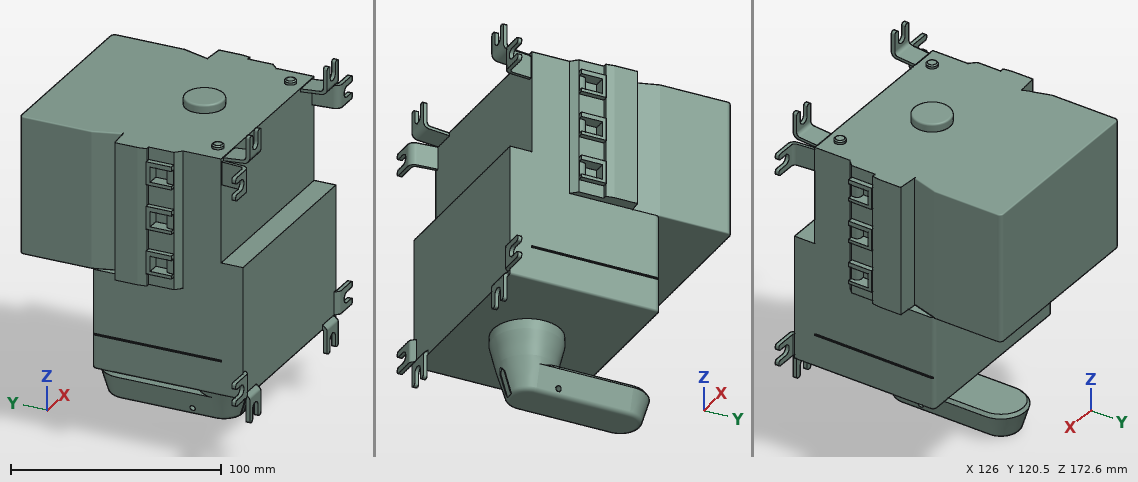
import cadquery as cq
import math


CLEARANCE = 0.02

BODY_HALF = 50.2
TOTAL_DEPTH = 120.5
TOTAL_HEIGHT = 172.6
TOP_Z = 159.4
BOTTOM_Z = 34.7
UPPER_BOTTOM_Z = 87.0
STEP_Z = 104.6
UPPER_FRONT_Y = 14.0
LOWER_FRONT_Y = 2.5
LOWER_REAR_Y = 82.4
CORNER_RADIUS = 2.5
RIM_RADIUS = 0.7
BOTTOM_RADIUS = 1.2
NECK_HALF = 46.0
NECK_Y = 68.0
SEAM_Z = 52.8
SEAM_HEIGHT = 0.7
SEAM_DEPTH = 0.5

WING_HALF = 56.3
WING_REAR_Y = 67.2
WING_SLOPE_Y = 54.9
WING_LIP_HALF = 55.6
RECESS_HALF = 53.5
RECESS_REAR_Y = 50.6
RECESS_FRONT_Y = 37.3
WING_FRONT_Y = 34.0

CELL_COUNT = 3
CELL_PITCH = 23.5
CELL_HEIGHT = 12.0
TOP_CELL_Z = 140.7
WINDOW_HEIGHT = 8.0
WINDOW_RISE = 1.7
WINDOW_REAR_Y = 48.5
POCKET_HALF = 50.0
LEDGE_HALF = 54.0
LEDGE_REAR_Y = 41.6
LEDGE_RADIUS = 2.5

BUTTON_Y = 47.3
BUTTON_DIAMETER = 20.2
BUTTON_HEIGHT = 4.3
BUTTON_FILLET = 1.0
PIN_X = 39.2
PIN_Y = 21.0
PIN_RADIUS = 3.0
PIN_HEIGHT = 1.9
PIN_CHAMFER = 0.7
BOSS_Z = 69.8
BOSS_RADIUS = 8.3
BOSS_LENGTH = 11.7

HANDLE_Y = 37.0
COLLAR_RADIUS = 18.0
COLLAR_Z = 29.4
CONE_RADIUS = 14.8
CONE_Z = 16.7
TIP_RADIUS = 9.8
LEVER_END_Y = 86.7
LEVER_TOP_Z = 15.0
LEVER_TOP_CHAMFER = 1.9
HANDLE_FILLET = 2.6
LEVER_HOLE_Y = 48.2
LEVER_HOLE_Z = 4.0
LEVER_HOLE_DIAMETER = 2.8
POINTER_HALF = 2.0
POINTER_TIP_Z = 14.5
POINTER_SHOULDER_Z = 12.3
POINTER_DEPTH = 0.7

BRACKET_WIDTH = 12.0
BRACKET_REACH = 12.8
SHEET = 2.0
FOOT_SLOT_WIDTH = 5.7
FOOT_SLOT_DEPTH = 8.8
TINE_RADIUS = 1.2
BRACKET_X = 41.8
UPPER_SIDE_BRACKET_Z = 151.5
LOWER_SIDE_BRACKET_Z = 43.2
TOP_BRACKET_Z = TOTAL_HEIGHT - BRACKET_REACH
LEG_INNER = 2.5
LEG_OUTER = 0.9
BEND_INSET = 1.5
OUTER_BEND_RADIUS = 3.5
INNER_BEND_RADIUS = 2.0
ROOT_BEND_START = 0.5
ROOT_BEND_INSET = 0.9
ROOT_BEND_RISE = 0.7


def box(x0, x1, y0, y1, z0, z1):
    return cq.Workplane("XY").box(x1 - x0, y1 - y0, z1 - z0, centered=False).translate((x0, y0, z0))


def both_sides(shape):
    return shape.union(shape.mirror("YZ"))


def lower_housing():
    body = box(-BODY_HALF, BODY_HALF, LOWER_FRONT_Y, LOWER_REAR_Y, BOTTOM_Z, UPPER_BOTTOM_Z)
    body = body.edges("|Z and >Y").fillet(CORNER_RADIUS)
    body = body.faces("<Z").edges("not <Y").fillet(BOTTOM_RADIUS)
    groove = box(BODY_HALF - SEAM_DEPTH, BODY_HALF + SEAM_DEPTH, UPPER_FRONT_Y, LOWER_REAR_Y,
                 SEAM_Z - SEAM_HEIGHT / 2, SEAM_Z + SEAM_HEIGHT / 2)
    return body.cut(both_sides(groove))


def front_step():
    """Part of the front that rises past the underside of the upper block to the ledge."""
    return box(-BODY_HALF, BODY_HALF, LOWER_FRONT_Y, WING_FRONT_Y, UPPER_BOTTOM_Z, STEP_Z)


def rear_block():
    half = [(BODY_HALF, TOTAL_DEPTH), (BODY_HALF, LOWER_REAR_Y), (NECK_HALF, NECK_Y)]
    outline = half + [(-x, y) for x, y in reversed(half)]
    block = cq.Workplane("XY", origin=(0, 0, UPPER_BOTTOM_Z)).polyline(outline).close()
    block = block.extrude(TOP_Z - UPPER_BOTTOM_Z)
    block = block.edges("|Z and >Y").fillet(CORNER_RADIUS)
    return block.faces("<Z or >Z").edges("not <Y").fillet(RIM_RADIUS)


def wing_block():
    half = [
        (BODY_HALF, UPPER_FRONT_Y),
        (BODY_HALF, WING_FRONT_Y),
        (RECESS_HALF, RECESS_FRONT_Y),
        (RECESS_HALF, RECESS_REAR_Y),
        (WING_LIP_HALF, RECESS_REAR_Y),
        (WING_HALF, WING_SLOPE_Y),
        (WING_HALF, WING_REAR_Y),
        (NECK_HALF, NECK_Y),
    ]
    outline = half + [(-x, y) for x, y in reversed(half)]
    block = cq.Workplane("XY", origin=(0, 0, UPPER_BOTTOM_Z)).polyline(outline).close()
    return block.extrude(TOP_Z - UPPER_BOTTOM_Z)


def terminal_cell(z):
    return box(RECESS_HALF, WING_HALF, RECESS_FRONT_Y, RECESS_REAR_Y, z, z + CELL_HEIGHT)


def terminal_pocket(z):
    """Pocket open to the side and to the front, with a rounded ledge at its mouth."""
    floor_z = z + WINDOW_RISE
    outline = (
        cq.Workplane("XY", origin=(0, 0, floor_z))
        .moveTo(WING_HALF + CLEARANCE, RECESS_FRONT_Y)
        .lineTo(LEDGE_HALF, RECESS_FRONT_Y)
        .lineTo(LEDGE_HALF, LEDGE_REAR_Y - LEDGE_RADIUS)
        .radiusArc((LEDGE_HALF - LEDGE_RADIUS, LEDGE_REAR_Y), -LEDGE_RADIUS)
        .lineTo(POCKET_HALF, LEDGE_REAR_Y)
        .lineTo(POCKET_HALF, WINDOW_REAR_Y)
        .lineTo(WING_HALF + CLEARANCE, WINDOW_REAR_Y)
        .close()
    )
    return outline.extrude(WINDOW_HEIGHT)


def top_button():
    button = cq.Workplane("XY", origin=(0, BUTTON_Y, TOP_Z))
    button = button.circle(BUTTON_DIAMETER / 2).extrude(BUTTON_HEIGHT)
    return button.faces(">Z").edges().fillet(BUTTON_FILLET)


def top_pin():
    pin = cq.Workplane("XY", origin=(PIN_X, PIN_Y, TOP_Z)).circle(PIN_RADIUS).extrude(PIN_HEIGHT)
    return pin.faces(">Z").edges().chamfer(PIN_CHAMFER)


def rear_boss():
    plane = cq.Workplane("XZ", origin=(0, LOWER_REAR_Y, BOSS_Z))
    return plane.circle(BOSS_RADIUS).extrude(-BOSS_LENGTH)


def handle():
    profile = [(0, 0), (TIP_RADIUS, 0), (CONE_RADIUS, CONE_Z), (COLLAR_RADIUS, COLLAR_Z),
               (COLLAR_RADIUS, BOTTOM_Z), (0, BOTTOM_Z)]
    knob = cq.Workplane("XZ").polyline(profile).close().revolve(360, (0, 0, 0), (0, 1, 0))
    knob = knob.faces("<Z").edges().fillet(HANDLE_FILLET).translate((0, HANDLE_Y, 0))

    flare = math.degrees(math.atan((CONE_RADIUS - TIP_RADIUS) / CONE_Z))
    lever_length = LEVER_END_Y - HANDLE_Y
    lever = cq.Workplane("XY", origin=(0, HANDLE_Y + lever_length / 2, 0))
    lever = lever.slot2D(lever_length + 2 * TIP_RADIUS, 2 * TIP_RADIUS, 90)
    lever = lever.extrude(LEVER_TOP_Z, taper=-flare)
    lever = lever.faces("<Z").edges().fillet(HANDLE_FILLET)
    lever = lever.faces(">Z").edges().chamfer(LEVER_TOP_CHAMFER)

    hole = cq.Workplane("YZ", origin=(0, LEVER_HOLE_Y, LEVER_HOLE_Z))
    hole = hole.circle(LEVER_HOLE_DIAMETER / 2).extrude(COLLAR_RADIUS, both=True)
    return knob.union(lever).cut(hole).cut(pointer_groove())


def pointer_groove():
    """Arrow-shaped groove on the front of the handle; its floor follows the cone."""
    floor_bottom_y = HANDLE_Y - TIP_RADIUS + POINTER_DEPTH
    floor_top_y = HANDLE_Y - CONE_RADIUS + POINTER_DEPTH
    outer_y = HANDLE_Y - COLLAR_RADIUS
    wedge = cq.Workplane("YZ").polyline(
        [(outer_y, 0), (floor_bottom_y, 0), (floor_top_y, CONE_Z), (outer_y, CONE_Z)]).close()
    wedge = wedge.extrude(POINTER_HALF, both=True)
    arrow = cq.Workplane("XZ").polyline(
        [(-POINTER_HALF, 0), (POINTER_HALF, 0), (POINTER_HALF, POINTER_SHOULDER_Z),
         (0, POINTER_TIP_Z), (-POINTER_HALF, POINTER_SHOULDER_Z)]).close()
    return wedge.intersect(arrow.extrude(-HANDLE_Y))


def foot_end(profile):
    """Extrude a bracket profile and cut the open slot.

    X is the distance outside the housing and Y the distance from the mounting plane.
    """
    bracket = profile.extrude(BRACKET_WIDTH / 2, both=True)
    slot_length = 2 * FOOT_SLOT_DEPTH
    slot = cq.Workplane("XZ", origin=(BRACKET_REACH - FOOT_SLOT_DEPTH + slot_length / 2, 0, 0))
    slot = slot.slot2D(slot_length, FOOT_SLOT_WIDTH).extrude(-SHEET)
    return bracket.cut(slot).edges("|Y and >X").fillet(TINE_RADIUS)


def upper_bracket():
    """Bracket with a bent leg that reaches back to the upper front face."""
    profile = (
        cq.Workplane("XY")
        .moveTo(-LEG_INNER, UPPER_FRONT_Y)
        .lineTo(-LEG_OUTER, UPPER_FRONT_Y)
        .lineTo(0, SHEET + INNER_BEND_RADIUS)
        .radiusArc((INNER_BEND_RADIUS, SHEET), -INNER_BEND_RADIUS)
        .lineTo(BRACKET_REACH, SHEET)
        .lineTo(BRACKET_REACH, 0)
        .lineTo(OUTER_BEND_RADIUS - BEND_INSET, 0)
        .radiusArc((-BEND_INSET, OUTER_BEND_RADIUS), OUTER_BEND_RADIUS)
        .close()
    )
    return foot_end(profile)


def lower_bracket():
    """Flat bracket joined to the lower front face by a short bent root."""
    profile = (
        cq.Workplane("XY")
        .moveTo(-LEG_INNER, LOWER_FRONT_Y)
        .lineTo(0, LOWER_FRONT_Y)
        .lineTo(ROOT_BEND_START, SHEET)
        .lineTo(BRACKET_REACH, SHEET)
        .lineTo(BRACKET_REACH, 0)
        .lineTo(ROOT_BEND_START, 0)
        .tangentArcPoint((-ROOT_BEND_INSET, ROOT_BEND_RISE), relative=False)
        .close()
    )
    return foot_end(profile)


def brackets_on_right():
    """The four brackets on the +X half, one sideways and one vertical at each end."""
    y_axis = [(0, 0, 0), (0, 1, 0)]
    upper_side = upper_bracket().translate((BODY_HALF, 0, UPPER_SIDE_BRACKET_Z))
    lower_side = lower_bracket().translate((BODY_HALF, 0, LOWER_SIDE_BRACKET_Z))
    top = upper_bracket().rotate(*y_axis, -90)
    top = top.translate((BRACKET_X, 0, TOP_BRACKET_Z))
    bottom = lower_bracket().rotate(*y_axis, 90)
    bottom = bottom.translate((BRACKET_X, 0, BOTTOM_Z))
    return [upper_side, lower_side, top, bottom]


result = lower_housing().union(front_step()).union(wing_block()).union(rear_block())

for index in range(CELL_COUNT):
    cell_z = TOP_CELL_Z - index * CELL_PITCH
    result = result.union(both_sides(terminal_cell(cell_z)))
    result = result.cut(both_sides(terminal_pocket(cell_z)))

result = result.union(top_button()).union(both_sides(top_pin())).union(rear_boss()).union(handle())

for bracket in brackets_on_right():
    result = result.union(both_sides(bracket))